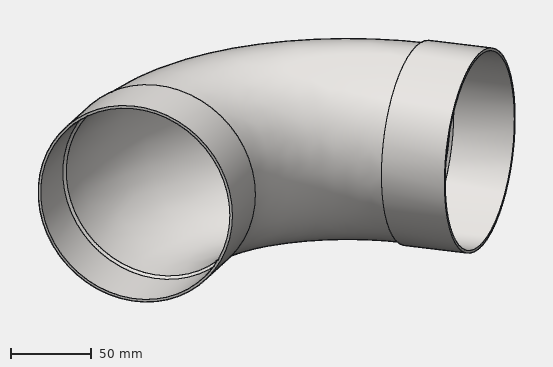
import cadquery as cq

overall_length = 231.0
collar_diameter = 128.5
collar_length = 41.5
socket_diameter = 125.0
taper_length = 1.6
bend_diameter = 125.0
bend_bore = 121.5

bend_radius = overall_length - collar_length - collar_diameter / 2

lower_end = cq.Plane(origin=(-bend_radius, 0, 0), xDir=(1, 0, 0), normal=(0, -1, 0))
side_end = cq.Plane(origin=(0, bend_radius, 0), xDir=(0, 1, 0), normal=(1, 0, 0))


def make_bend():
    """Quarter-turn pipe from the lower end to the side end."""
    return (
        cq.Workplane(lower_end)
        .circle(bend_diameter / 2)
        .circle(bend_bore / 2)
        .revolve(90, (bend_radius, 0), (bend_radius, -1))
    )


def make_collar(end_plane):
    """Straight collar whose socket tapers down to the bend bore at its inner end."""
    bore_radius = bend_bore / 2
    socket_radius = socket_diameter / 2
    outer_radius = collar_diameter / 2
    half_section = [
        (bore_radius, 0),
        (outer_radius, 0),
        (outer_radius, collar_length),
        (socket_radius, collar_length),
        (socket_radius, taper_length),
    ]
    section_plane = cq.Plane(
        origin=end_plane.origin,
        xDir=end_plane.xDir,
        normal=end_plane.xDir.cross(end_plane.zDir),
    )
    return (
        cq.Workplane(section_plane)
        .polyline(half_section)
        .close()
        .revolve(360, (0, 0), (0, 1))
    )


result = make_bend()
for end_plane in (lower_end, side_end):
    result = result.union(make_collar(end_plane))